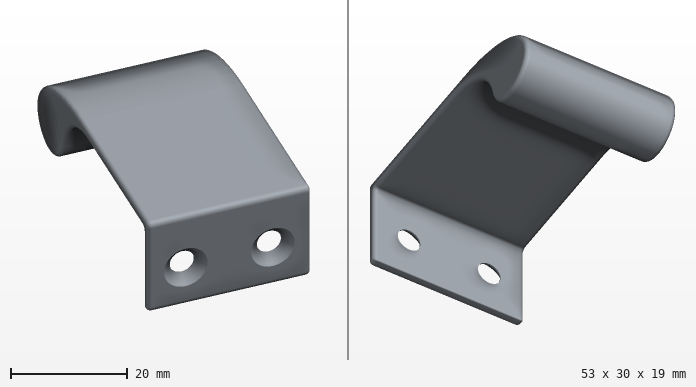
import cadquery as cq
import math

length = 53.0
width = 30.0
height = 19.0
thickness = 2.0

nose_radius = 6.0
nose_center_z = -11.0
back_length = 21.0
hollow_radius = 13.0

outer_corner_radius = 1.0
inner_corner_radius = 0.5
leg_tip_radius = 0.25
side_edge_radius = 0.8

hole_diameter = 4.5
countersink_diameter = 8.0
countersink_angle = 90.0
hole_spacing = 16.0
hole_z = -11.0

hollow_center_z = -thickness - hollow_radius
center_distance = nose_radius + hollow_radius
center_rise = nose_center_z - hollow_center_z
hollow_center_x = nose_radius + math.sqrt(center_distance**2 - center_rise**2)


def hollow_point(angle):
    """Point on the hollow arc at an angle measured from +X."""
    return (
        hollow_center_x + hollow_radius * math.cos(angle),
        hollow_center_z + hollow_radius * math.sin(angle),
    )


def make_body():
    """Extrude the side outline of grip, plate and leg, centred on Y = 0."""
    tangent_angle = math.atan2(center_rise, nose_radius - hollow_center_x)
    hollow_start = hollow_point(math.pi / 2)
    hollow_middle = hollow_point((math.pi / 2 + tangent_angle) / 2)
    hollow_end = hollow_point(tangent_angle)
    nose_bottom = (nose_radius, nose_center_z - nose_radius)
    nose_left = (0, nose_center_z)
    back_height = -nose_center_z
    inner_x = length - thickness

    outline = (
        cq.Workplane("XZ")
        .moveTo(back_length, 0)
        .lineTo(length, 0)
        .lineTo(length, -height)
        .lineTo(inner_x, -height)
        .lineTo(inner_x, -thickness)
        .lineTo(*hollow_start)
        .threePointArc(hollow_middle, hollow_end)
        .threePointArc(nose_bottom, nose_left)
        .ellipseArc(back_length, back_height, 90, 180, sense=-1, startAtCurrent=True)
        .close()
    )
    return outline.extrude(width).translate((0, width / 2, 0))


def round_cross_edge(body, x, z, radius):
    """Round the edge that runs along Y through the given outline corner."""
    return body.edges(cq.selectors.NearestToPointSelector((x, 0, z))).fillet(radius)


def round_edges(body):
    """Round the plate and leg corners, then the whole rim of both sides."""
    body = round_cross_edge(body, length, 0, outer_corner_radius)
    body = round_cross_edge(body, length, -height, outer_corner_radius)
    body = round_cross_edge(body, length - thickness, -thickness, inner_corner_radius)
    body = round_cross_edge(body, length - thickness, -height, leg_tip_radius)
    return body.faces("<Y or >Y").edges().fillet(side_edge_radius)


def drill_holes(body):
    """Cut the pair of countersunk screw holes along X through the leg, stopping short of the grip."""
    leg_face = cq.Workplane("YZ", origin=(length, 0, 0))
    half_spacing = hole_spacing / 2
    return (
        body.copyWorkplane(leg_face)
        .pushPoints([(-half_spacing, hole_z), (half_spacing, hole_z)])
        .cskHole(hole_diameter, countersink_diameter, countersink_angle, 2 * thickness)
    )


result = drill_holes(round_edges(make_body()))